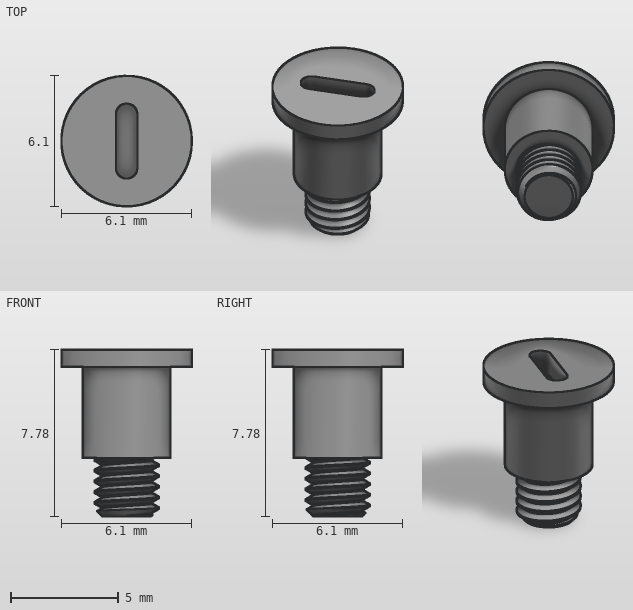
import cadquery as cq
import math

total_height = 7.78
head_diameter = 6.1
head_height = 0.8
shoulder_diameter = 4.1
shoulder_length = 4.25

slot_length = 3.5
slot_width = 1.0
slot_depth = 1.2

thread_diameter = 3.0
thread_pitch = 0.5
thread_length = total_height - head_height - shoulder_length
tip_chamfer = 0.375
crest_width = thread_pitch / 8
root_width = thread_pitch / 8
flank_angle = math.radians(30)
thread_depth = (thread_pitch - crest_width - root_width) / 2 / math.tan(flank_angle)
crest_drop = 0.34

cutter_overshoot = 0.03
overrun_turns = 1


def make_head():
    head_bottom = total_height - head_height
    return (
        cq.Workplane("XY")
        .workplane(offset=head_bottom)
        .circle(head_diameter / 2)
        .extrude(head_height)
    )


def make_shoulder():
    return (
        cq.Workplane("XY")
        .workplane(offset=thread_length)
        .circle(shoulder_diameter / 2)
        .extrude(shoulder_length)
    )


def make_slot():
    return (
        cq.Workplane("XY")
        .workplane(offset=total_height)
        .slot2D(slot_length, slot_width, 90)
        .extrude(-slot_depth)
    )


def make_thread_groove():
    """Helical trapezoid that overruns both ends of the threaded rod."""
    root_radius = thread_diameter / 2 - thread_depth
    outer_radius = thread_diameter / 2 + cutter_overshoot
    root_half = root_width / 2
    outer_half = root_half + (outer_radius - root_radius) * math.tan(flank_angle)

    turns = math.ceil(thread_length / thread_pitch) + 2 * overrun_turns
    first_groove_z = thread_length - crest_drop + thread_pitch / 2
    start_z = first_groove_z + (overrun_turns - turns) * thread_pitch

    profile = (
        cq.Workplane("XZ")
        .moveTo(root_radius, start_z - root_half)
        .lineTo(outer_radius, start_z - outer_half)
        .lineTo(outer_radius, start_z + outer_half)
        .lineTo(root_radius, start_z + root_half)
        .close()
    )
    helix = cq.Wire.makeHelix(
        thread_pitch, turns * thread_pitch, root_radius, center=cq.Vector(0, 0, start_z)
    )
    return profile.sweep(cq.Workplane(obj=helix), isFrenet=True)


def make_tip_cutter():
    """Ring with a 45 degree cone inside, which bevels the end of the thread."""
    tip_radius = thread_diameter / 2 - tip_chamfer
    ring_radius = thread_diameter
    return (
        cq.Workplane("XZ")
        .moveTo(tip_radius, 0)
        .lineTo(ring_radius, 0)
        .lineTo(ring_radius, ring_radius - tip_radius)
        .close()
        .revolve(360, (0, 0, 0), (0, 1, 0))
    )


def make_threaded_rod():
    rod = cq.Workplane("XY").circle(thread_diameter / 2).extrude(thread_length)
    return rod.cut(make_thread_groove()).cut(make_tip_cutter())


body = make_head().union(make_shoulder()).cut(make_slot())
result = body.union(make_threaded_rod())